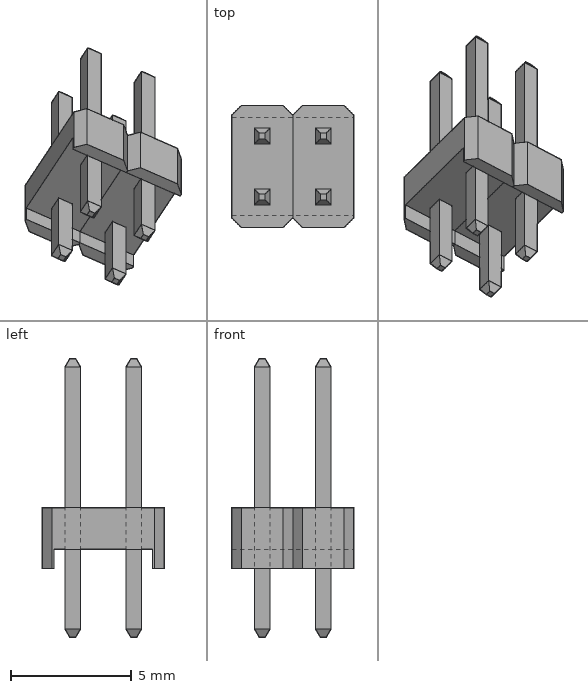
import cadquery as cq
import math

pitch = 2.54
columns = 2
rows = 2

housing_height = 2.54
corner_chamfer = 0.4
foot_width = 0.5
foot_height = 0.8

pin_width = 0.65
pin_length = 11.6
pin_below_housing = 2.86
tip_width = 0.25
tip_angle = 60

housing_depth = rows * pitch
relief_depth = housing_depth - 2 * foot_width
tip_height = (pin_width - tip_width) / 2 * math.tan(math.radians(tip_angle))
pin_bottom = -pin_below_housing
pin_top = pin_bottom + pin_length
column_centers = [(i - (columns - 1) / 2) * pitch for i in range(columns)]
row_centers = [(j - (rows - 1) / 2) * pitch for j in range(rows)]


def make_pin(x, y):
    """Square pin with a truncated pyramid at each end."""
    shaft_length = pin_length - 2 * tip_height
    shaft = (
        cq.Workplane("XY", origin=(x, y, pin_bottom + tip_height))
        .rect(pin_width, pin_width)
        .extrude(shaft_length)
    )
    lower_tip = (
        cq.Workplane("XY", origin=(x, y, pin_bottom))
        .rect(tip_width, tip_width)
        .workplane(offset=tip_height)
        .rect(pin_width, pin_width)
        .loft(ruled=True)
    )
    upper_tip = (
        cq.Workplane("XY", origin=(x, y, pin_top - tip_height))
        .rect(pin_width, pin_width)
        .workplane(offset=tip_height)
        .rect(tip_width, tip_width)
        .loft(ruled=True)
    )
    return shaft.union(lower_tip).union(upper_tip)


def make_housing(x):
    """One chamfered segment with a relief underneath and a square hole for each pin."""
    block = (
        cq.Workplane("XY", origin=(x, 0, 0))
        .rect(pitch, housing_depth)
        .extrude(housing_height)
        .edges("|Z")
        .chamfer(corner_chamfer)
    )
    relief = cq.Workplane("XY", origin=(x, 0, 0)).rect(pitch, relief_depth).extrude(foot_height)
    pin_holes = (
        cq.Workplane("XY", origin=(x, 0, 0))
        .pushPoints([(0, y) for y in row_centers])
        .rect(pin_width, pin_width)
        .extrude(housing_height)
    )
    return block.cut(relief).cut(pin_holes)


housings = [make_housing(x) for x in column_centers]
pins = [make_pin(x, y) for x in column_centers for y in row_centers]

result = cq.Compound.makeCompound([body.val() for body in housings + pins])